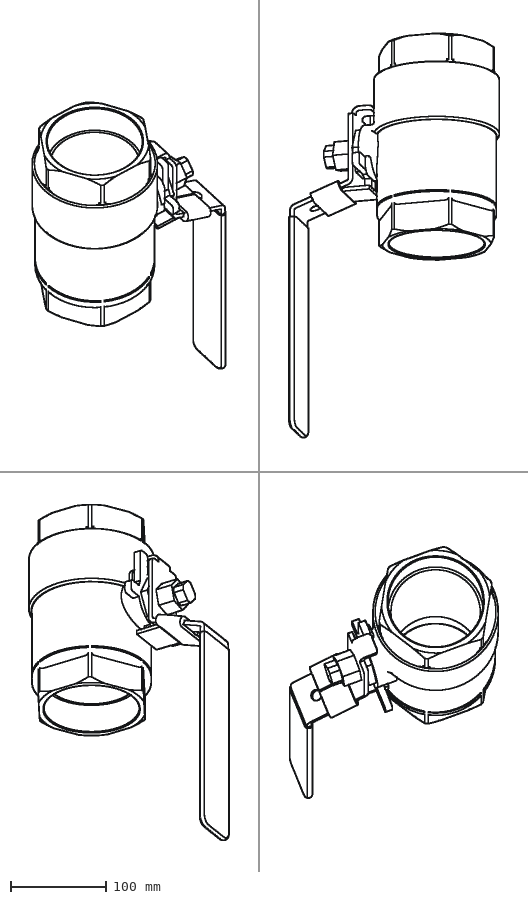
import cadquery as cq
import math


total_height = 408.5
body_half_length = 107.25
body_rise = 1.2

bore_diameter = 94.0
thread_diameter = 100.0
thread_mouth_diameter = 102.0
thread_depth = 32.5
barrel_diameter = 126.0
collar_diameter = 132.0
collar_bottom = 11.0
collar_top = 74.8
collar_edge_chamfer = 2.5
collar_rim_width = 2.5
collar_rim_drop = 1.2
barrel_bottom = -77.0
barrel_edge_fillet = 2.0
groove_height = -67.0
groove_width = 1.5
groove_depth = 0.5
hex_across_flats = 110.5
hex_end_flat_diameter = 114.5
hex_end_drop = 3.5
hex_root_fillet = 3.0

neck_diameter = 60.5
neck_start = 51.0
neck_blend_radius = 3.3
plate_inner_y = 69.0
plate_thickness = 7.8
plate_outer_y = plate_inner_y + plate_thickness
arm_width = 13.5
arm_corner_radius = 3.3
upper_arm_left = 12.3
upper_arm_width = 14.7
upper_arm_end = 51.0
left_arm_end = -52.5
left_arm_top = -13.0
right_arm_end = 45.5
lower_arm_end = -41.0
pad_thickness = 5.0
pad_start = 12.0
pad_end = 30.5
pad_corner_radius = 10.2
pad_edge_fillet = 2.0
gland_corner_diameter = 52.5

lever_thickness = 5.0
lever_width = 47.8
lever_inner_y = 85.0
lever_outer_y = lever_inner_y + lever_thickness
lever_mid_y = lever_inner_y + lever_thickness / 2
lever_slope = 20.0
upper_bend_radius = 3.5
lower_bend_radius = 2.5
tab_width = 23.3
tab_corner_radius = 4.0
tab_mid_z = 47.5
shoulder_z = 39.5
shoulder_radius = 3.5
blade_mid_y = 151.5
hang_hole_diameter = 12.0
hang_hole_y = 133.5

stem_diameter = 24.5
stem_across_flats = 21.2
stem_end_y = 120.5
nut_corner_diameter = 34.5
nut_angle = 12.0
nut_end_y = 109.0

slide_mid_y = 114.0
slide_mid_x = 1.2
slide_mid_z = -45.5
slide_length = 32.0
slide_width = 60.5
slide_thickness = 12.0
slide_slit = 1.5
tongue_width = 40.0
tongue_thickness = 4.0
tongue_end_y = 68.0

grip_width = 51.5
grip_thickness = 8.5
grip_top = -69.5
grip_bottom = body_rise + body_half_length - total_height
grip_corner_radius = 10.2
grip_wall = (grip_width - lever_width) / 2


def block(x0, x1, y0, y1, z0, z1):
    """Box between two corners."""
    return cq.Workplane("XY").box(x1 - x0, y1 - y0, z1 - z0, centered=False).translate((x0, y0, z0))


def facing_y(y):
    """Workplane holding X and Z at the given y; a negative extrusion goes toward +Y."""
    return cq.Workplane("XZ", origin=(0, y, 0))


def collar():
    height = collar_top - collar_bottom
    ring = cq.Workplane("XY", origin=(0, 0, collar_bottom)).circle(collar_diameter / 2).extrude(height)
    ring = ring.faces("<Z").edges().chamfer(collar_edge_chamfer)
    return ring.faces(">Z").edges().chamfer(collar_rim_drop, collar_rim_width)


def barrel():
    height = collar_top - barrel_bottom
    cylinder = cq.Workplane("XY", origin=(0, 0, barrel_bottom)).circle(barrel_diameter / 2).extrude(height)
    return cylinder.faces("<Z").edges().fillet(barrel_edge_fillet)


def barrel_groove():
    return (
        cq.Workplane("XY", origin=(0, 0, groove_height - groove_width / 2))
        .circle(barrel_diameter / 2 + groove_depth)
        .circle(barrel_diameter / 2 - groove_depth)
        .extrude(groove_width)
    )


def hex_bar():
    """Full-length hexagon with corners on the Y axis, rounded and coned to fit the pipe ends."""
    corner_diameter = hex_across_flats / math.cos(math.pi / 6)
    prism = (
        cq.Workplane("XY", origin=(0, 0, -body_half_length))
        .transformed(rotate=(0, 0, 90))
        .polygon(6, corner_diameter)
        .extrude(2 * body_half_length)
    )
    corner_radius = barrel_diameter / 2
    end_radius = hex_end_flat_diameter / 2
    shoulder = body_half_length - hex_end_drop
    envelope = (
        cq.Workplane("XZ")
        .polyline([
            (0, -body_half_length),
            (end_radius, -body_half_length),
            (corner_radius, -shoulder),
            (corner_radius, shoulder),
            (end_radius, body_half_length),
            (0, body_half_length),
        ])
        .close()
        .revolve(360, (0, 0, 0), (0, 1, 0))
    )
    return prism.intersect(envelope)


def hex_root_fillets():
    """Concave strips where the flats of the upper hexagon meet the top of the collar."""
    flat = hex_across_flats / 2
    inner = flat - hex_root_fillet
    length = hex_across_flats
    strip = (
        cq.Workplane("XZ", origin=(0, length / 2, 0))
        .moveTo(inner, collar_top)
        .lineTo(flat + hex_root_fillet, collar_top)
        .radiusArc((flat, collar_top + hex_root_fillet), hex_root_fillet)
        .lineTo(inner, collar_top + hex_root_fillet)
        .close()
        .extrude(length)
    )
    strips = strip
    for side in range(1, 6):
        strips = strips.union(strip.rotate((0, 0, 0), (0, 0, 1), 60 * side))
    limit = (
        cq.Workplane("XY", origin=(0, 0, collar_top))
        .circle(barrel_diameter / 2)
        .extrude(hex_root_fillet)
    )
    return strips.intersect(limit)


def bore():
    """Through bore with a wider threaded length and a chamfered mouth at both ends."""
    r_bore = bore_diameter / 2
    r_thread = thread_diameter / 2
    r_mouth = thread_mouth_diameter / 2
    mouth = body_half_length - (r_mouth - r_thread)
    step = body_half_length - thread_depth
    return (
        cq.Workplane("XZ")
        .polyline([
            (0, -body_half_length),
            (r_mouth, -body_half_length),
            (r_thread, -mouth),
            (r_thread, -step),
            (r_bore, -step),
            (r_bore, step),
            (r_thread, step),
            (r_thread, mouth),
            (r_mouth, body_half_length),
            (0, body_half_length),
        ])
        .close()
        .revolve(360, (0, 0, 0), (0, 1, 0))
    )


def stop_plate():
    """Four arms around the neck that limit and lock the lever."""
    y0 = plate_inner_y
    y1 = plate_outer_y
    half = arm_width / 2
    upper = block(upper_arm_left, upper_arm_left + upper_arm_width, y0, y1, 0, upper_arm_end)
    upper = upper.faces(">Z").edges("|Y").fillet(arm_corner_radius)
    lower = block(-half, half, y0, y1, lower_arm_end, 0)
    left = block(left_arm_end, 0, y0, y1, left_arm_top - arm_width, left_arm_top)
    left = left.faces("<X").edges("|Y").fillet(arm_corner_radius)
    right = block(0, right_arm_end, y0, y1, -half, half)
    right = right.faces(">X").edges("|Y").fillet(arm_corner_radius)
    return upper.union(lower).union(left).union(right)


def neck():
    return facing_y(neck_start).circle(neck_diameter / 2).extrude(neck_start - plate_outer_y)


def blend_neck(shell):
    """Fillet where the upper side of the neck runs into the collar."""
    near = (0, collar_diameter / 2, neck_diameter / 2)
    return shell.edges(cq.selectors.NearestToPointSelector(near)).fillet(neck_blend_radius)


def root_pads():
    """Pads that thicken the roots of the left and the upper arm beside the neck."""
    y0 = plate_inner_y - pad_thickness
    y1 = plate_inner_y
    upper = block(pad_start, pad_end, y0, y1, 0, pad_end)
    upper = upper.edges("|Y and >X and >Z").fillet(pad_corner_radius)
    upper = upper.faces("<Y").edges().fillet(pad_edge_fillet)
    left = block(-pad_end, 0, y0, y1, -pad_end, -pad_start)
    left = left.edges("|Y and <X and <Z").fillet(pad_corner_radius)
    left = left.faces("<Y").edges().fillet(pad_edge_fillet)
    return upper.union(left)


def gland():
    return facing_y(plate_outer_y).polygon(6, gland_corner_diameter).extrude(plate_outer_y - lever_inner_y)


def stem():
    """Round rod with four flats, one corner pointing along each of X and Z."""
    length = stem_end_y - lever_inner_y
    rod = facing_y(lever_inner_y).circle(stem_diameter / 2).extrude(-length)
    square = facing_y(lever_inner_y).rect(stem_across_flats, stem_across_flats).extrude(-length)
    return rod.intersect(square.rotate((0, 0, 0), (0, 1, 0), 45))


def nut():
    prism = facing_y(lever_outer_y).polygon(6, nut_corner_diameter).extrude(lever_outer_y - nut_end_y)
    return prism.rotate((0, 0, 0), (0, 1, 0), -nut_angle)


def make_valve():
    shell = barrel().cut(barrel_groove()).union(collar())
    shell = shell.union(hex_bar()).union(hex_root_fillets())
    shell = shell.cut(bore()).translate((0, 0, body_rise))
    shell = blend_neck(shell.union(neck()))
    return shell.union(root_pads()).union(stop_plate()).union(gland()).union(stem()).union(nut())


def slope_z(y):
    """Height of the middle of the sloping part of the lever at a given y."""
    return slide_mid_z + (slide_mid_y - y) * math.tan(math.radians(lever_slope))


def lever_strip():
    """Bent strip of constant thickness, drawn as straight runs with mitred corners, then rounded."""
    half = lever_thickness / 2
    mitre = half * math.tan(math.radians(90 - lever_slope) / 2)
    upper_z = slope_z(lever_mid_y)
    lower_z = slope_z(blade_mid_y)
    blade_end = grip_bottom + grip_wall
    outer_bends = [
        (lever_outer_y, tab_mid_z + half),
        (lever_outer_y, upper_z + mitre),
        (blade_mid_y + half, lower_z + mitre),
    ]
    inner_bends = [
        (blade_mid_y - half, lower_z - mitre),
        (lever_inner_y, upper_z - mitre),
        (lever_inner_y, tab_mid_z - half),
    ]
    tab_top = (plate_inner_y, tab_mid_z + half)
    tab_bottom = (plate_inner_y, tab_mid_z - half)
    blade_tip = [(blade_mid_y + half, blade_end), (blade_mid_y - half, blade_end)]
    profile = [tab_top, *outer_bends, *blade_tip, *inner_bends, tab_bottom]
    strip = cq.Workplane("YZ").polyline(profile).close().extrude(lever_width / 2, both=True)

    tab_outer, slope_outer, blade_outer = outer_bends
    blade_inner, slope_inner, tab_inner = inner_bends
    bends = [
        (tab_outer, upper_bend_radius + lever_thickness),
        (tab_inner, upper_bend_radius),
        (slope_outer, lower_bend_radius),
        (slope_inner, lower_bend_radius + lever_thickness),
        (blade_outer, lower_bend_radius + lever_thickness),
        (blade_inner, lower_bend_radius),
    ]
    for (y, z), radius in bends:
        strip = strip.edges(cq.selectors.NearestToPointSelector((0, y, z))).fillet(radius)
    return strip


def tab_notch(side):
    """Material beside the narrow tab on one side (-1 or 1), above the rounded shoulder of the strip."""
    x_tab = side * tab_width / 2
    x_outer = side * lever_width / 2
    notch_top = tab_mid_z + lever_thickness
    return (
        facing_y(plate_inner_y)
        .moveTo(x_tab, shoulder_z)
        .lineTo(x_outer - side * shoulder_radius, shoulder_z)
        .radiusArc((x_outer, shoulder_z - shoulder_radius), side * shoulder_radius)
        .lineTo(x_outer, notch_top)
        .lineTo(x_tab, notch_top)
        .close()
        .extrude(plate_inner_y - lever_outer_y)
    )


def hang_hole():
    """Hole square to the sloping part."""
    drill = cq.Workplane("XY").circle(hang_hole_diameter / 2).extrude(lever_thickness, both=True)
    drill = drill.rotate((0, 0, 0), (1, 0, 0), -lever_slope)
    return drill.translate((0, hang_hole_y, slope_z(hang_hole_y)))


def make_lever():
    lever = lever_strip()
    for side in (-1, 1):
        lever = lever.cut(tab_notch(side))
    lever = lever.faces("<Z").edges("|Y").fillet(grip_corner_radius - grip_wall)
    lever = lever.faces("<Y").edges("|Z").fillet(tab_corner_radius)
    return lever.cut(hang_hole()).cut(stem())


def make_slide(lever):
    """Flattened sleeve around the sloping part, slit along its top, with a tongue toward the plate."""
    sleeve = (
        cq.Workplane("XZ")
        .slot2D(slide_width, slide_thickness)
        .extrude(slide_length / 2, both=True)
    )
    slit = block(-slide_slit / 2, slide_slit / 2, -slide_length, slide_length, 0, slide_thickness)
    sleeve = sleeve.cut(slit)
    sleeve = sleeve.rotate((0, 0, 0), (1, 0, 0), -lever_slope)
    sleeve = sleeve.translate((slide_mid_x, slide_mid_y, slide_mid_z))
    tongue = block(
        -tongue_width / 2,
        tongue_width / 2,
        tongue_end_y,
        slide_mid_y - slide_length / 2 + slide_thickness / 2,
        lower_arm_end - tongue_thickness,
        lower_arm_end,
    )
    return sleeve.union(tongue).cut(lever)


def make_grip(lever):
    """Rounded sheath that the end of the lever is pushed into."""
    radius = grip_thickness / 2
    side = grip_width / 2 - radius
    foot = grip_bottom + radius
    bend = grip_corner_radius - radius
    bend_z = foot + bend
    mid_plane = cq.Workplane("XZ", origin=(0, blade_mid_y, 0))
    rim_path = (
        mid_plane.moveTo(-side, grip_top)
        .lineTo(-side, bend_z)
        .radiusArc((bend - side, foot), -bend)
        .lineTo(side - bend, foot)
        .radiusArc((side, bend_z), -bend)
        .lineTo(side, grip_top)
    )
    rim = cq.Workplane("XY", origin=(-side, blade_mid_y, grip_top)).circle(radius).sweep(rim_path)
    panel = block(-side, side, blade_mid_y - radius, blade_mid_y + radius, foot, grip_top)
    panel = panel.faces("<Z").edges("|Y").fillet(bend)
    return panel.union(rim).cut(lever)


valve = make_valve()
lever = make_lever()
slide = make_slide(lever)
grip = make_grip(lever)

result = cq.Compound.makeCompound([body.solids().val() for body in (valve, lever, slide, grip)])